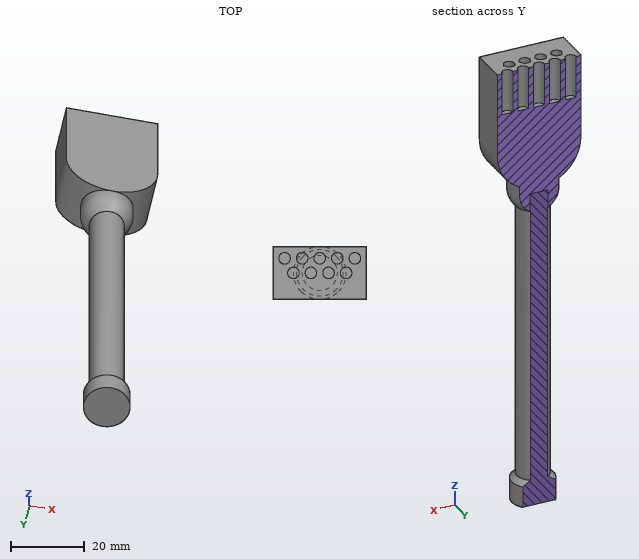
import cadquery as cq

TOTAL_LENGTH = 136.5

HOUSING_WIDTH = 25.4
HOUSING_THICKNESS = 14.3
HOUSING_HEIGHT = 38.1
END_RADIUS = HOUSING_WIDTH / 2
END_CENTER_Z = TOTAL_LENGTH - HOUSING_HEIGHT + END_RADIUS

NECK_RADIUS = HOUSING_THICKNESS / 2
DOME_CENTER_Z = 97.0

SOCKET_DIAMETER = 3.1
SOCKET_DEPTH = 12.7
SOCKET_PITCH = 4.8
ROW_SPACING = 4.0
SOCKET_ROWS = [(5, ROW_SPACING), (4, 0)]

CABLE_RADIUS = 9.5 / 2
FERRULE_RADIUS = 12.7 / 2
FERRULE_HEIGHT = 7.9
FERRULE_CHAMFER = FERRULE_RADIUS - CABLE_RADIUS
CABLE_END_Z = DOME_CENTER_Z


def make_block():
    """Flat block whose lower end is a half circle in the XZ plane."""
    return (
        cq.Workplane("XZ")
        .moveTo(-END_RADIUS, TOTAL_LENGTH)
        .lineTo(-END_RADIUS, END_CENTER_Z)
        .threePointArc((0, END_CENTER_Z - END_RADIUS), (END_RADIUS, END_CENTER_Z))
        .lineTo(END_RADIUS, TOTAL_LENGTH)
        .close()
        .extrude(HOUSING_THICKNESS / 2, both=True)
    )


def make_neck():
    """Round boss rising into the block, with a hemispherical lower end."""
    dome = cq.Workplane("XY").workplane(offset=DOME_CENTER_Z).sphere(NECK_RADIUS)
    boss = (
        cq.Workplane("XY")
        .workplane(offset=DOME_CENTER_Z)
        .circle(NECK_RADIUS)
        .extrude(END_CENTER_Z - DOME_CENTER_Z)
    )
    return boss.union(dome)


def make_sockets():
    """Cutters for the blind contact sockets, each row centered on X = 0."""
    centers = [
        ((index - (count - 1) / 2) * SOCKET_PITCH, row_y)
        for count, row_y in SOCKET_ROWS
        for index in range(count)
    ]
    return (
        cq.Workplane("XY")
        .workplane(offset=TOTAL_LENGTH - SOCKET_DEPTH)
        .pushPoints(centers)
        .circle(SOCKET_DIAMETER / 2)
        .extrude(SOCKET_DEPTH)
    )


def make_housing(cable):
    """Block and neck as one solid, with the sockets and the seat for the cable cut out."""
    return make_block().union(make_neck()).cut(make_sockets()).cut(cable)


def make_cable():
    """Cable and ferrule as one solid of revolution about Z."""
    return (
        cq.Workplane("XZ")
        .moveTo(0, 0)
        .lineTo(FERRULE_RADIUS, 0)
        .lineTo(FERRULE_RADIUS, FERRULE_HEIGHT - FERRULE_CHAMFER)
        .lineTo(CABLE_RADIUS, FERRULE_HEIGHT)
        .lineTo(CABLE_RADIUS, CABLE_END_Z)
        .lineTo(0, CABLE_END_Z)
        .close()
        .revolve(360, (0, 0), (0, 1))
    )


cable = make_cable()
housing = make_housing(cable)

result = cq.Compound.makeCompound([housing.val(), cable.val()])